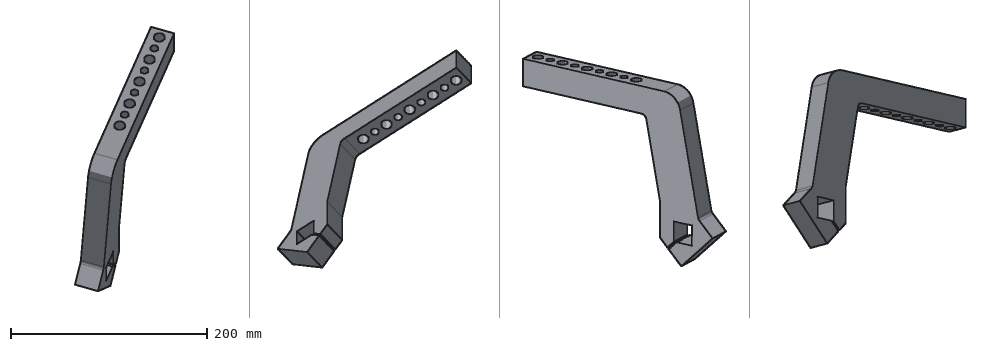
import cadquery as cq
import math


WIDTH = 25.0

ARM_HEIGHT = 30.0
LEG_TILT = math.radians(11.0)
LEG_WIDTH = 44.0
OUTER_ELBOW_RADIUS = 20.0
INNER_ELBOW_RADIUS = 6.0
NECK_RADIUS = 6.0

HOLE_COUNT = 9
HOLE_PITCH = 15.0
FIRST_HOLE_REACH = 10.0
LARGE_HOLE_DIAMETER = 11.0
SMALL_HOLE_DIAMETER = 8.0

BORE_REACH = 195.0
BORE_DROP = 150.0
BORE_SIZE = 22.0
HEAD_HALF_WIDTH = 27.0
HEAD_DEPTH = 24.0
HEAD_BACK = 28.1

SLOT_WIDTH = 2.0
PIN_DIAMETER = 8.0
PIN_OFFSET = 20.0
PIN_EMBED = 2.0

HALF_ROOT = math.sqrt(0.5)
LEG_SLOPE = math.tan(LEG_TILT)
LEG_SPAN = LEG_WIDTH / math.cos(LEG_TILT)
OUTER_CORNER_REACH = BORE_REACH + LEG_SPAN / 2 - BORE_DROP * LEG_SLOPE


def side_plane():
    """YZ plane through the middle of the width."""
    return cq.Workplane("YZ")


def head_point(along_slot, across_slot):
    """(Y, Z) of a point in the head's 45 degree axes, measured from the bore centre.

    along_slot points back and down (+Y, -Z); across_slot points forward and down (-Y, -Z).
    """
    y = -BORE_REACH + (along_slot - across_slot) * HALF_ROOT
    z = -BORE_DROP - (along_slot + across_slot) * HALF_ROOT
    return (y, z)


def outer_leg_y(z):
    """Y of the leg's outer (front) face at height z."""
    return -OUTER_CORNER_REACH + z * LEG_SLOPE


def inner_leg_y(z):
    """Y of the leg's inner (back) face at height z."""
    return outer_leg_y(z) + LEG_SPAN


def make_body():
    """Arm, leg and head as one extruded outline with rounded elbow and neck."""
    front_y, front_z = head_point(-HEAD_HALF_WIDTH, HEAD_DEPTH)
    neck_z = (front_y - front_z + OUTER_CORNER_REACH) / (LEG_SLOPE - 1)
    neck = (outer_leg_y(neck_z), neck_z)

    bottom_y, bottom_z = head_point(HEAD_HALF_WIDTH, HEAD_DEPTH)
    back_y = -BORE_REACH + HEAD_BACK
    back_low = (back_y, back_y - bottom_y + bottom_z)
    back_high_z = (back_y + OUTER_CORNER_REACH - LEG_SPAN) / LEG_SLOPE

    outer_elbow = (-OUTER_CORNER_REACH, 0)
    inner_elbow = (inner_leg_y(-ARM_HEIGHT), -ARM_HEIGHT)
    outline = [
        (0, 0),
        outer_elbow,
        neck,
        (front_y, front_z),
        (bottom_y, bottom_z),
        back_low,
        (back_y, back_high_z),
        inner_elbow,
        (0, -ARM_HEIGHT),
    ]
    body = side_plane().polyline(outline).close().extrude(WIDTH / 2, both=True)
    for corner, radius in (
        (outer_elbow, OUTER_ELBOW_RADIUS),
        (inner_elbow, INNER_ELBOW_RADIUS),
        (neck, NECK_RADIUS),
    ):
        edge = cq.selectors.NearestToPointSelector((0, *corner))
        body = body.edges("|X").edges(edge).fillet(radius)
    return body


def make_arm_holes():
    """Cutters for the arm holes, large and small in turn."""
    holes = cq.Workplane("XY")
    for index in range(HOLE_COUNT):
        diameter = SMALL_HOLE_DIAMETER if index % 2 else LARGE_HOLE_DIAMETER
        reach = FIRST_HOLE_REACH + index * HOLE_PITCH
        hole = cq.Workplane("XY").center(0, -reach).circle(diameter / 2).extrude(-ARM_HEIGHT)
        holes = holes.add(hole)
    return holes.combine()


def make_bore():
    """Cutter for the square bore through the head."""
    bore = side_plane().center(-BORE_REACH, -BORE_DROP).rect(BORE_SIZE, BORE_SIZE)
    return bore.extrude(WIDTH / 2, both=True)


def make_slot():
    """Slot from the bore out through the head's lower back side, below the bore diagonal."""
    corners = [
        head_point(0, 0),
        head_point(HEAD_HALF_WIDTH, 0),
        head_point(HEAD_HALF_WIDTH, SLOT_WIDTH),
        head_point(0, SLOT_WIDTH),
    ]
    return side_plane().polyline(corners).close().extrude(WIDTH / 2, both=True)


def make_pin():
    """Pin square to the slot, at the middle of the width, joining both slot walls."""
    start_y, start_z = head_point(PIN_OFFSET, -PIN_EMBED)
    plane = cq.Plane(origin=(0, start_y, start_z), xDir=(1, 0, 0), normal=(0, -1, -1))
    return cq.Workplane(plane).circle(PIN_DIAMETER / 2).extrude(SLOT_WIDTH + 2 * PIN_EMBED)


result = make_body().cut(make_arm_holes()).cut(make_bore()).cut(make_slot()).union(make_pin())